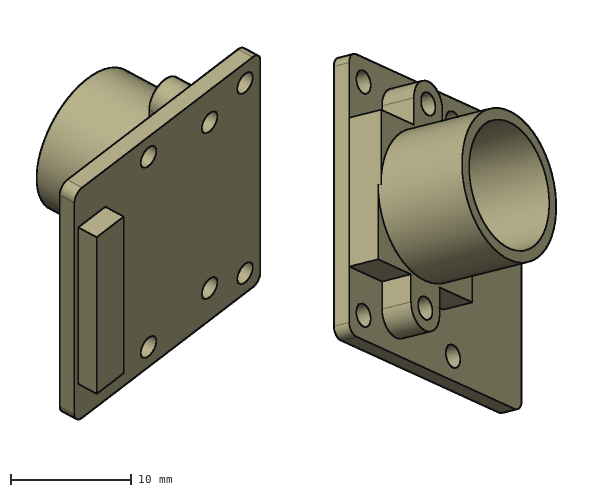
import cadquery as cq

board_thickness = 1.6
board_width = 24.1
board_height = 25.0
board_corner_radius = 1.0

hole_diameter = 2.0
board_hole_edge_inset = 2.0
board_hole_spacing_y = 12.5
board_hole_spacing_z = 20.65

connector_depth = 2.0
connector_width = 3.5
connector_height = 17.0
connector_edge_inset = 0.5

barrel_diameter = 13.18
bore_diameter = 11.18
mount_length = 11.7
base_depth = 3.3
base_lower_step = 0.3
ear_radius = 2.0
ear_hole_spacing = 18.0

mount_y = board_width / 2 - barrel_diameter / 2
ear_hole_points = [(mount_y, side * ear_hole_spacing / 2) for side in (-1, 1)]


def along_x(start_x):
    """Workplane at start_x with local axes Y and Z, extruding toward +X."""
    return cq.Workplane("YZ", origin=(start_x, 0, 0))


def make_board():
    """Rounded board with its fixing holes, the mount screw holes and the connector."""
    plate = (
        along_x(0)
        .rect(board_width, board_height)
        .extrude(board_thickness)
        .edges("|X")
        .fillet(board_corner_radius)
    )

    first_hole_y = board_width / 2 - board_hole_edge_inset
    fixing_points = [
        (y, side * board_hole_spacing_z / 2)
        for y in (first_hole_y, first_hole_y - board_hole_spacing_y)
        for side in (-1, 1)
    ]
    holes = (
        along_x(0)
        .pushPoints(fixing_points + ear_hole_points)
        .circle(hole_diameter / 2)
        .extrude(board_thickness)
    )

    connector_y = -board_width / 2 + connector_edge_inset + connector_width / 2
    connector = (
        along_x(board_thickness)
        .center(connector_y, 0)
        .rect(connector_width, connector_height)
        .extrude(connector_depth)
    )
    return plate.cut(holes).union(connector)


def make_base():
    """Square base with rounded ears; its lower half is slightly shallower."""
    block = along_x(-base_depth).center(mount_y, 0).rect(barrel_diameter, barrel_diameter).extrude(base_depth)
    ears = (
        along_x(-base_depth)
        .center(mount_y, 0)
        .slot2D(ear_hole_spacing + 2 * ear_radius, 2 * ear_radius, 90)
        .extrude(base_depth)
    )
    lower_step = (
        along_x(-base_depth)
        .center(mount_y, -board_height / 4)
        .rect(barrel_diameter, board_height / 2)
        .extrude(base_lower_step)
    )
    return block.union(ears).cut(lower_step)


def make_lens_mount():
    """Base and barrel, bored through to the board, with a screw hole in each ear."""
    barrel = along_x(-mount_length).center(mount_y, 0).circle(barrel_diameter / 2).extrude(mount_length)
    bore = along_x(-mount_length).center(mount_y, 0).circle(bore_diameter / 2).extrude(mount_length)
    screw_holes = (
        along_x(-base_depth)
        .pushPoints(ear_hole_points)
        .circle(hole_diameter / 2)
        .extrude(base_depth)
    )
    return make_base().union(barrel).cut(bore).cut(screw_holes)


board = make_board()
lens_mount = make_lens_mount()

result = cq.Compound.makeCompound([board.val(), lens_mount.val()])